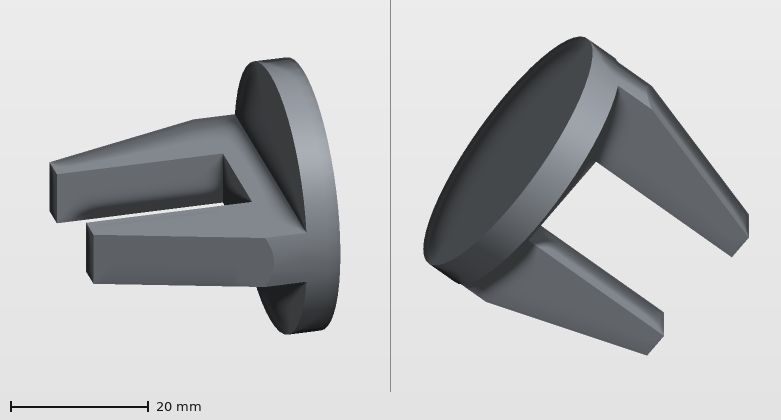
import cadquery as cq

plate_diameter = 40.0
plate_thickness = 5.0
plate_radius = plate_diameter / 2

total_depth = 35.0
fork_height = 8.0
slot_width = 16.0
prong_tip_width = 4.0
shoulder_depth = 10.0
slot_half_width = slot_width / 2
tip_half_width = slot_half_width + prong_tip_width


def round_bar(length):
    """Cylinder of the plate diameter, running from the plate back toward -Y."""
    return cq.Workplane("XZ").circle(plate_radius).extrude(length)


def fork_blank():
    """Flat fork with tapered prongs, centred on Z = 0."""
    right_half = [
        (plate_radius, 0),
        (plate_radius, -shoulder_depth),
        (tip_half_width, -total_depth),
        (slot_half_width, -total_depth),
        (slot_half_width, -shoulder_depth),
    ]
    left_half = [(-x, y) for x, y in reversed(right_half)]
    outline = cq.Workplane("XY").polyline(right_half + left_half).close()
    return outline.extrude(fork_height / 2, both=True)


fork = fork_blank().intersect(round_bar(total_depth))
result = round_bar(plate_thickness).union(fork)